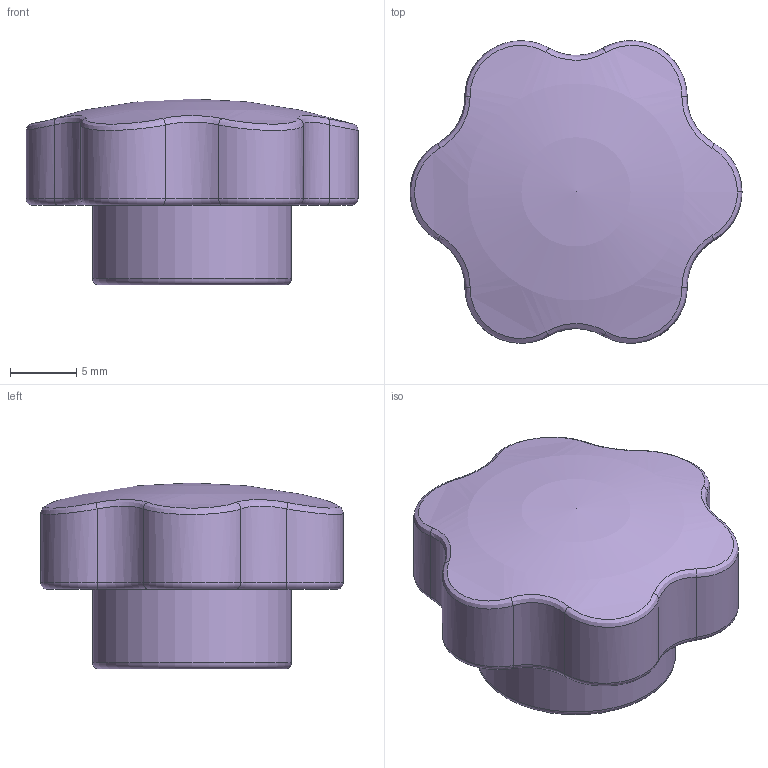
import cadquery as cq
import math

knob_diameter = 25.0
knob_height = 14.0
hub_diameter = 15.0
hub_height = 6.0

lobe_count = 6
lobe_radius = 4.25
valley_radius = 4.0

dome_drop = 2.0
dome_overhang = 1.0

rim_fillet = 0.5
hub_fillet = 0.5

tip_radius = knob_diameter / 2
lobe_pitch_radius = tip_radius - lobe_radius
half_pitch_angle = 180 / lobe_count


def polar(radius, angle):
    """Point at a radius and an angle in degrees around the knob axis."""
    return (radius * math.cos(math.radians(angle)), radius * math.sin(math.radians(angle)))


def lobed_outline():
    """Closed outline of lobe and valley arcs meeting tangentially."""
    half_chord = lobe_pitch_radius * math.sin(math.radians(half_pitch_angle))
    lobe_reach = lobe_pitch_radius * math.cos(math.radians(half_pitch_angle))
    center_distance = lobe_radius + valley_radius
    valley_rise = math.sqrt(center_distance**2 - half_chord**2)
    valley_bottom = lobe_reach + valley_rise - valley_radius

    lobe_share = lobe_radius / center_distance
    joint_along = lobe_reach + valley_rise * lobe_share
    joint_across = half_chord * (1 - lobe_share)
    joint_radius = math.hypot(joint_along, joint_across)
    joint_angle = half_pitch_angle - math.degrees(math.atan2(joint_across, joint_along))

    outline = cq.Workplane("XY").workplane(offset=hub_height)
    outline = outline.moveTo(*polar(joint_radius, -joint_angle))
    for index in range(lobe_count):
        lobe_angle = index * 2 * half_pitch_angle
        valley_angle = lobe_angle + half_pitch_angle
        next_lobe_angle = valley_angle + half_pitch_angle
        outline = outline.threePointArc(
            polar(tip_radius, lobe_angle),
            polar(joint_radius, lobe_angle + joint_angle),
        )
        outline = outline.threePointArc(
            polar(valley_bottom, valley_angle),
            polar(joint_radius, next_lobe_angle - joint_angle),
        )
    return outline.close()


def make_dome():
    """Cylinder with a spherical top, wide enough to cover every lobe."""
    dome_radius = (tip_radius**2 + dome_drop**2) / (2 * dome_drop)
    cover_radius = tip_radius + dome_overhang
    dome_center = knob_height - dome_radius
    cover_edge = dome_center + math.sqrt(dome_radius**2 - cover_radius**2)
    mid_radius = cover_radius / 2
    mid_height = dome_center + math.sqrt(dome_radius**2 - mid_radius**2)
    return (
        cq.Workplane("XZ")
        .lineTo(cover_radius, 0)
        .lineTo(cover_radius, cover_edge)
        .threePointArc((mid_radius, mid_height), (0, knob_height))
        .close()
        .revolve(360, (0, 0), (0, 1))
    )


def make_head():
    """Lobed grip with a domed top and rounded rims."""
    prism = lobed_outline().extrude(knob_height - hub_height)
    head = prism.intersect(make_dome())
    return head.edges("not |Z").fillet(rim_fillet)


def make_hub():
    """Round hub below the grip with a rounded lower edge."""
    hub = cq.Workplane("XY").circle(hub_diameter / 2).extrude(hub_height)
    return hub.faces("<Z").edges().fillet(hub_fillet)


result = make_head().union(make_hub())